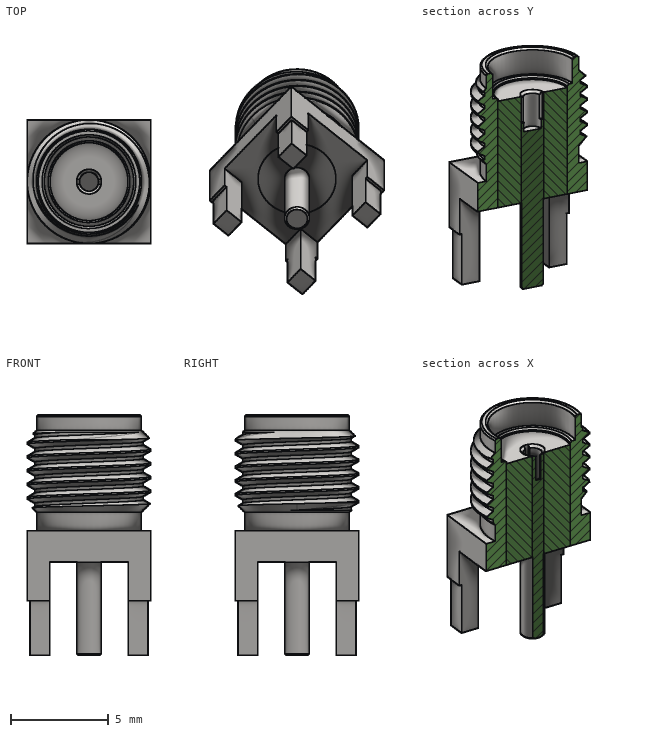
import cadquery as cq
import math

total_height = 12.35
shoulder_z = 2.8
block_underside_z = 4.79
block_top_z = 6.41
thread_bottom_z = 7.35
thread_top_z = 11.56

base_width = 6.35
leg_gap = 4.03
tip_inset = 0.14

barrel_radius = 5.38 / 2
thread_radius = base_width / 2
thread_pitch = 0.7
crest_width = thread_pitch / 8
root_width = thread_pitch / 4
flank_angle = 30.0
thread_depth = (thread_pitch - crest_width - root_width) / (2 * math.tan(math.radians(flank_angle)))
thread_root_radius = thread_radius - thread_depth
groove_start_z = 6.67
groove_turns = 7.5
cutter_overrun = 0.06
rim_chamfer = 0.09

socket_radius = 4.6 / 2
socket_depth = 1.45
socket_chamfer = 0.11
seat_radius = 4.2 / 2
core_radius = 4.0 / 2
insulator_recess = 0.09
socket_floor_z = total_height - socket_depth
countersink_bottom_z = socket_floor_z - (seat_radius - core_radius)
insulator_top_z = countersink_bottom_z - insulator_recess

pin_radius = 1.27 / 2
pin_hole_radius = 0.98 / 2
pin_funnel_depth = pin_radius - pin_hole_radius
pin_tip_chamfer = 0.1
pin_hole_depth = 1.98
slot_width = 0.26
slot_depth = 1.48


def cylinder(radius, bottom, top):
    return cq.Workplane("XY").workplane(offset=bottom).circle(radius).extrude(top - bottom)


def revolved(profile):
    """Revolve (radius, height) points about the Z axis."""
    return cq.Workplane("XZ").polyline(profile).close().revolve(360, (0, 0, 0), (0, 1, 0))


def block(length, width, bottom, top):
    """Box centred on the Z axis, between two heights."""
    return cq.Workplane("XY").workplane(offset=bottom).rect(length, width).extrude(top - bottom)


def make_base():
    """Square block whose corners run down as stepped legs."""
    tip_width = base_width - 2 * tip_inset
    base = block(base_width, base_width, shoulder_z, block_top_z)
    base = base.union(block(tip_width, tip_width, 0, shoulder_z))
    for length, width in ((base_width, leg_gap), (leg_gap, base_width)):
        base = base.cut(block(length, width, 0, block_underside_z))
    return base


def make_thread():
    """Sleeve with 45 degree ends and one right-hand V groove."""
    end_chamfer = thread_radius - barrel_radius
    sleeve = revolved([
        (0, thread_bottom_z),
        (barrel_radius, thread_bottom_z),
        (thread_radius, thread_bottom_z + end_chamfer),
        (thread_radius, thread_top_z - end_chamfer),
        (barrel_radius, thread_top_z),
        (0, thread_top_z),
    ])
    outer_radius = thread_radius + cutter_overrun
    half_root = root_width / 2
    half_mouth = half_root + (outer_radius - thread_root_radius) * math.tan(math.radians(flank_angle))
    path = cq.Wire.makeHelix(thread_pitch, groove_turns * thread_pitch, thread_root_radius)
    groove = (
        cq.Workplane("XZ")
        .polyline([
            (thread_root_radius, -half_root),
            (outer_radius, -half_mouth),
            (outer_radius, half_mouth),
            (thread_root_radius, half_root),
        ])
        .close()
        .sweep(cq.Workplane(path), isFrenet=True)
        .translate((0, 0, groove_start_z))
    )
    return sleeve.cut(groove)


def make_bore():
    """Socket, countersunk seat and insulator bore as one cutter."""
    return revolved([
        (0, block_underside_z),
        (core_radius, block_underside_z),
        (core_radius, countersink_bottom_z),
        (seat_radius, socket_floor_z),
        (socket_radius, socket_floor_z),
        (socket_radius, total_height - socket_chamfer),
        (socket_radius + socket_chamfer, total_height),
        (0, total_height),
    ])


def make_shell():
    barrel = cylinder(barrel_radius, block_top_z, total_height).faces(">Z").edges().chamfer(rim_chamfer)
    return make_base().union(barrel).union(make_thread()).cut(make_bore())


def make_insulator():
    sleeve = cylinder(core_radius, block_underside_z, insulator_top_z)
    return sleeve.cut(cylinder(pin_radius, block_underside_z, insulator_top_z))


def make_pin():
    """Round pin with a funnelled blind hole and a cross slot at its top."""
    hole_bottom_z = insulator_top_z - pin_hole_depth
    pin = revolved([
        (0, 0),
        (pin_radius - pin_tip_chamfer, 0),
        (pin_radius, pin_tip_chamfer),
        (pin_radius, insulator_top_z),
        (pin_hole_radius, insulator_top_z - pin_funnel_depth),
        (pin_hole_radius, hole_bottom_z),
        (0, hole_bottom_z),
    ])
    slot = block(2 * pin_radius, slot_width, insulator_top_z - slot_depth, insulator_top_z)
    return pin.cut(slot)


shell = make_shell()
insulator = make_insulator()
pin = make_pin()

result = cq.Compound.makeCompound([shell.val(), insulator.val(), pin.val()])